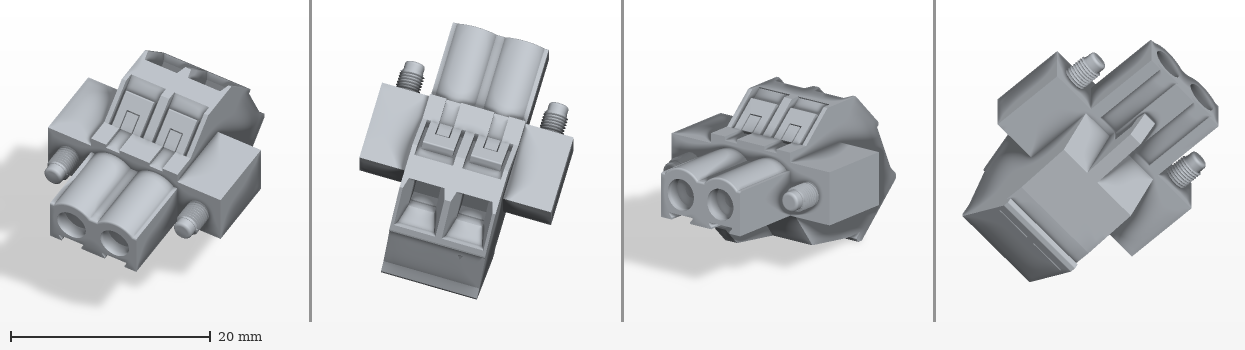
import cadquery as cq
import math


pitch = 5.0
pole_centers = (-pitch / 2, pitch / 2)
half_width = pitch
length = 25.5
height = 15.5
overcut = 1.28

front_y = 8.19
ledge_z = 12.42
nose_bottom_z = 5.76
floor_z = 0.92

button_face_low = (10.8, ledge_z)
button_face_high = (14.3, height)
button_slope = math.atan2(height - ledge_z, button_face_high[0] - button_face_low[0])

wire_face_run = 3.65
wire_face_high = (18.92, height)
wire_face_low = (wire_face_high[0] + wire_face_run, height - wire_face_run)

rear_wall_high = (22.41, 11.32)
rear_wall_low = (24.63, 6.45)

underside_front = (6.0, 2.42)
underside_back = (17.55, floor_z)
body_front_y = 8.82
body_slant_y = 11.83
lip_fillet = 0.15

latch_width = 1.5
latch_top_z = 3.98
latch_corner = 0.3
latch_tip = (5.05, 4.75)
latch_tip_fillet = 0.2

axis_z = 8.6
nose_step_z = 10.45
nose_radius = 2.78
nose_edge_fillet = 0.2
socket_radius = 1.65
socket_depth = 1.53
socket_tip_radius = 0.76
socket_tip_depth = 0.25

keyway_half_top = 1.48
keyway_half_mouth = 1.15
keyway_height = 0.7
keyway_side = 0.15
keyway_lip = 0.18

flange_outer_x = 2 * pitch
flange_depth = 8.03
flange_top_z = axis_z + nose_radius
screw_x = 1.5 * pitch
screw_root_overlap = 0.25
thread_end_y = 5.69
thread_pitch = 0.3
thread_root_radius = 1.07
thread_crest_radius = 1.28
thread_foot = 0.25
thread_sink = 0.05
tip_radius = 1.02
tip_end_y = 4.75
tip_fillet = 0.3

well_half = 2.01
well_depth = 0.95
well_back_y = 15.33
button_half = 1.6
button_end_y = 13.65
button_end_fillet = 0.15
window_half = 0.76
window_end_y = 12.32
tab_gap = 0.13
notch_z = 11.98

entry_half = 2.17
entry_low_y = 22.1
entry_lip_depth = 0.76
entry_top_front_y = 17.77
throat_half = 1.38
throat_depth = 2.12
throat_step_depth = 1.05
throat_step = 0.15
wire_hole_depth = 2.55

lip_window_z = 0.8
lip_window_front_y = 18.87
lip_window_back_y = 21.68

mark_front_y = 22.82
mark_height = 0.28
mark_half = 0.25
mark_depth = 0.08


def box(x_min, x_max, y_min, y_max, z_min, z_max):
    size = (x_max - x_min, y_max - y_min, z_max - z_min)
    return cq.Workplane("XY").box(*size, centered=False).translate((x_min, y_min, z_min))


def side_prism(points, x_min, x_max):
    """Prism along X with an outline given as (y, z) points."""
    prism = cq.Workplane("YZ").polyline(points).close().extrude(x_max - x_min)
    return prism.translate((x_min, 0, 0))


def cylinder_y(radius, y_min, y_max):
    """Cylinder along the Y axis."""
    return cq.Workplane("XZ", origin=(0, y_min, 0)).circle(radius).extrude(y_min - y_max)


def edge_near(x, y, z):
    return cq.selectors.NearestToPointSelector((x, y, z))


def height_on_line(start, end, y):
    """Height at y on the straight line through two (y, z) points."""
    return start[1] + (end[1] - start[1]) * (y - start[0]) / (end[0] - start[0])


slant_end = (body_slant_y, height_on_line(underside_front, underside_back, body_slant_y))


def make_body():
    outline = [
        (front_y, nose_bottom_z),
        (front_y, ledge_z),
        button_face_low,
        button_face_high,
        wire_face_high,
        wire_face_low,
        (22.67, 11.7),
        (22.67, 11.5),
        rear_wall_high,
        rear_wall_low,
        (length, 5.58),
        (length, 5.07),
        (19.92, 0),
        (19.35, 0),
        (19.02, 0.4),
        (19.58, 0.97),
        underside_back,
        slant_end,
        (body_front_y, nose_bottom_z),
    ]
    body = side_prism(outline, -half_width, half_width)
    lip_edges = cq.selectors.BoxSelector((-0.25, 0, -0.25), (0.25, length, lip_fillet))
    return body.edges(lip_edges).fillet(lip_fillet)


def make_latch():
    outline = [
        (body_front_y, nose_bottom_z),
        (front_y, nose_bottom_z),
        (front_y, latch_top_z),
        (5.81, latch_top_z),
        latch_tip,
        (4.05, 4.55),
        (4.05, 4.35),
        underside_front,
        slant_end,
    ]
    latch = side_prism(outline, -latch_width, 0)
    latch = latch.edges(edge_near(-latch_width / 2, front_y, latch_top_z)).fillet(latch_corner)
    return latch.edges(edge_near(-latch_width / 2, *latch_tip)).fillet(latch_tip_fillet)


def make_nose():
    """Block topped by two round humps, with its front top edges rounded."""
    slab = box(-half_width, half_width, 0, front_y, nose_bottom_z, nose_step_z)
    nose = slab.edges(edge_near(0, 0, nose_step_z)).fillet(nose_edge_fillet)
    envelope = box(-half_width, half_width, 0, front_y, nose_bottom_z, height)
    hump = cylinder_y(nose_radius, 0, front_y).faces("<Y").edges().fillet(nose_edge_fillet)
    for x in pole_centers:
        nose = nose.union(hump.translate((x, 0, axis_z)).intersect(envelope))
    return nose


def make_socket(x):
    profile = [
        (0, -overcut),
        (socket_radius, -overcut),
        (socket_radius, socket_depth),
        (socket_tip_radius, socket_depth + socket_tip_depth),
        (0, socket_depth + socket_tip_depth),
    ]
    socket = cq.Workplane("XY").polyline(profile).close().revolve(360, (0, 0), (0, 1))
    return socket.translate((x, 0, axis_z))


def make_keyway(x):
    shoulder = keyway_height - keyway_side
    half_outline = [
        (keyway_half_mouth, 0),
        (keyway_half_mouth, keyway_lip),
        (keyway_half_top, shoulder),
        (keyway_half_top, keyway_height),
    ]
    mirrored = [(-across, up) for across, up in reversed(half_outline)]
    keyway = cq.Workplane("XZ").polyline(half_outline + mirrored).close().extrude(-front_y)
    return keyway.translate((x, 0, nose_bottom_z))


def make_flanges():
    back_y = front_y + flange_depth
    return box(-flange_outer_x, flange_outer_x, front_y, back_y, nose_bottom_z, flange_top_z)


def make_screw():
    """Screw along the Y axis with a helical thread, a plain rounded tip and a root inside the flange."""
    core = cylinder_y(thread_root_radius, thread_end_y, front_y + screw_root_overlap)
    tip = cylinder_y(tip_radius, tip_end_y, thread_end_y)
    tip = tip.faces("<Y").edges().fillet(tip_fillet)
    sunk_radius = thread_root_radius - thread_sink
    ridge_profile = [
        (sunk_radius, -thread_foot / 2),
        (thread_crest_radius, 0),
        (sunk_radius, thread_foot / 2),
    ]
    helix = cq.Wire.makeHelix(thread_pitch, front_y - thread_end_y, sunk_radius)
    ridge = cq.Workplane("XZ").polyline(ridge_profile).close().sweep(helix, isFrenet=True)
    ridge = ridge.rotate((0, 0, 0), (1, 0, 0), -90).translate((0, thread_end_y + thread_foot / 2, 0))
    return core.union(tip).union(ridge)


def slope_block(x, half, end, depth, outside):
    """Block square to the button face, from its foot to a distance up the slope."""
    block = box(-half, half, 0, end, -depth, outside)
    block = block.rotate((0, 0, 0), (1, 0, 0), math.degrees(button_slope))
    return block.translate((x, *button_face_low))


def up_slope(y):
    """Distance from the foot of the button face to the point on it at y."""
    return (y - button_face_low[0]) / math.cos(button_slope)


def make_well(x):
    """Pocket around a button, running out through the top face."""
    top_run = (well_back_y - button_face_high[0]) * math.cos(button_slope)
    return slope_block(x, well_half, up_slope(button_face_high[0]) + top_run, well_depth, overcut)


def make_button(x):
    """Button flush with the sloping face, with a tab standing free inside a window."""
    end_z = height_on_line(button_face_low, button_face_high, button_end_y)
    window_end = up_slope(window_end_y)
    button = slope_block(x, button_half, up_slope(button_end_y), well_depth, 0)
    button = button.edges(edge_near(x, button_end_y, end_z)).fillet(button_end_fillet)
    window = slope_block(x, window_half, window_end, well_depth, overcut)
    tab = slope_block(x, window_half - tab_gap, window_end - tab_gap, well_depth, 0)
    return button.cut(window).union(tab)


def make_ledge_notch(x):
    """Slot along the ledge that ends against the foot of the tab."""
    foot_y = button_face_low[0] + (ledge_z - notch_z) * math.tan(button_slope)
    outline = [
        (front_y - overcut, notch_z),
        (front_y - overcut, height),
        (button_face_low[0], height),
        button_face_low,
        (foot_y, notch_z),
    ]
    return side_prism(outline, x - window_half, x + window_half)


def make_wire_entry(x):
    """Funnel square to the 45 degree face, with side walls closing in on a stepped wire hole."""
    face_sum = sum(wire_face_high)
    lip_run = entry_lip_depth / math.sqrt(2)
    low_y = entry_low_y
    low_z = face_sum - entry_low_y
    ramp_z = low_z - lip_run
    throat_y = face_sum - throat_depth * math.sqrt(2) - ramp_z
    step_run = throat_step_depth / math.sqrt(2)
    step_shift = throat_step / math.sqrt(2)
    hole_run = wire_hole_depth / math.sqrt(2)
    step_y = throat_y - step_run
    step_z = ramp_z - step_run
    hole_y = throat_y - hole_run - step_shift
    hole_z = ramp_z - hole_run + step_shift
    rise = (height - entry_top_front_y - hole_z + hole_y) / 2
    side = side_prism(
        [
            (low_y + overcut, low_z + overcut),
            (low_y, low_z),
            (low_y - lip_run, ramp_z),
            (throat_y, ramp_z),
            (step_y, step_z),
            (step_y - step_shift, step_z + step_shift),
            (hole_y, hole_z),
            (hole_y - rise, hole_z + rise),
            (entry_top_front_y, height),
            (entry_top_front_y + overcut, height + overcut),
        ],
        -pitch / 2,
        pitch / 2,
    )
    taper = (entry_half - throat_half) / throat_depth
    half_plan = [
        (entry_half + taper * overcut, overcut),
        (throat_half, -throat_depth),
        (throat_half, -throat_depth - wire_hole_depth),
    ]
    mirrored = [(-across, out) for across, out in reversed(half_plan)]
    across_face = cq.Plane(origin=(0, *wire_face_high), xDir=(1, 0, 0), normal=(0, -1, 1))
    funnel = cq.Workplane(across_face).polyline(half_plan + mirrored).close().extrude(length, both=True)
    return side.intersect(funnel).translate((x, 0, 0))


def make_lip_window(x):
    """Low slot through the rear lip, just under the floor of the housing."""
    return box(x - well_half, x + well_half, lip_window_front_y, lip_window_back_y, lip_window_z, floor_z)


def make_mark(x):
    """Shallow triangle pointing back, sunk into the steep rear wall."""
    outline = [(x - mark_half, mark_front_y), (x + mark_half, mark_front_y), (x, mark_front_y + mark_height)]
    prism = cq.Workplane("XY").polyline(outline).close().extrude(height)
    outer_band = side_prism(
        [
            (rear_wall_high[0] - mark_depth, rear_wall_high[1]),
            (rear_wall_low[0] - mark_depth, rear_wall_low[1]),
            (rear_wall_low[0] + mark_depth, rear_wall_low[1]),
            (rear_wall_high[0] + mark_depth, rear_wall_high[1]),
        ],
        -half_width,
        half_width,
    )
    return prism.intersect(outer_band)


result = make_body().union(make_latch()).union(make_nose()).union(make_flanges())
for pole_x in pole_centers:
    result = result.cut(make_socket(pole_x)).cut(make_keyway(pole_x))
    result = result.cut(make_well(pole_x)).union(make_button(pole_x))
    result = result.cut(make_ledge_notch(pole_x)).cut(make_wire_entry(pole_x))
    result = result.cut(make_lip_window(pole_x))
result = result.cut(make_mark(pole_centers[0]))

screw = make_screw()
for side_sign in (-1, 1):
    result = result.union(screw.translate((side_sign * screw_x, 0, axis_z)))